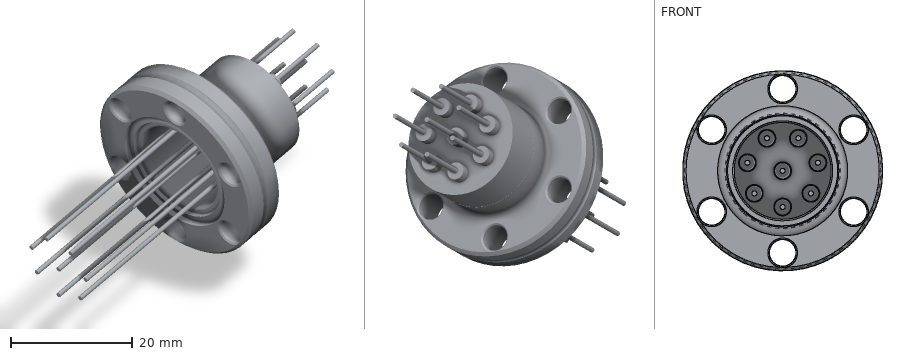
import cadquery as cq
import math


flange_diameter = 33.0
flange_thickness = 7.7
flange_chamfer = 0.6
leak_groove_width = 1.4
leak_groove_depth = 0.3

bolt_count = 6
bolt_circle_radius = 13.5
first_bolt_angle = 90.0
bolt_hole_diameter = 4.4
bolt_hole_chamfer = 0.25

seal_recess_diameter = 21.45
seal_recess_depth = 1.0
knife_diameter = 18.55
knife_wall_taper = 0.2
knife_tip_depth = 0.6
ledge_depth = 1.15

shell_diameter = 19.05
shell_length = 13.0
shell_fillet = 0.75
bore_diameter = 16.0
bore_chamfer = 0.25
weld_groove_diameter = 19.0
weld_groove_width = 0.2
weld_groove_from_flange = 4.8

pin_diameter = 0.8
pin_length = 63.5
pin_front_length = 29.85
ring_pin_count = 7
pin_circle_radius = 6.0
first_pin_angle = -90.0
insulator_diameter = 2.9
insulator_chamfer = 0.1
insulator_height = 2.0

flange_radius = flange_diameter / 2
shell_radius = shell_diameter / 2
bore_radius = bore_diameter / 2
shell_end = flange_thickness + shell_length
floor_thickness = shell_radius - bore_radius
bore_floor = shell_end - floor_thickness


def cylinder(diameter, y_start, length, x=0.0, z=0.0):
    """Cylinder along +Y from y_start, centred at (x, z)."""
    return cq.Workplane(cq.Solid.makeCylinder(
        diameter / 2, length, cq.Vector(x, y_start, z), cq.Vector(0, 1, 0)))


def polar_points(count, radius, first_angle):
    """Evenly spaced (x, z) points on a circle about the Y axis."""
    angles = [math.radians(first_angle + i * 360 / count) for i in range(count)]
    return [(radius * math.cos(a), radius * math.sin(a)) for a in angles]


def revolve_about_y(profile):
    """Close an XY half-profile and turn it fully about the Y axis."""
    return profile.close().revolve(360, (0, 0, 0), (0, 1, 0))


def make_housing():
    """Flange and shell, solid, with the outer grooves."""
    groove_start = (flange_thickness - leak_groove_width) / 2
    groove_end = groove_start + leak_groove_width
    fillet_middle = shell_fillet * (1 - math.sqrt(0.5))
    weld_start = flange_thickness + weld_groove_from_flange
    weld_end = weld_start + weld_groove_width
    weld_radius = weld_groove_diameter / 2
    return revolve_about_y(
        cq.Workplane("XY")
        .lineTo(flange_radius - flange_chamfer, 0)
        .lineTo(flange_radius, flange_chamfer)
        .lineTo(flange_radius, groove_start)
        .threePointArc((flange_radius - leak_groove_depth, flange_thickness / 2),
                       (flange_radius, groove_end))
        .lineTo(flange_radius, flange_thickness - flange_chamfer)
        .lineTo(flange_radius - flange_chamfer, flange_thickness)
        .lineTo(shell_radius + shell_fillet, flange_thickness)
        .threePointArc((shell_radius + fillet_middle, flange_thickness + fillet_middle),
                       (shell_radius, flange_thickness + shell_fillet))
        .lineTo(shell_radius, weld_start)
        .lineTo(weld_radius, weld_start)
        .lineTo(weld_radius, weld_end)
        .lineTo(shell_radius, weld_end)
        .lineTo(shell_radius, shell_end)
        .lineTo(0, shell_end)
    )


def make_cavity():
    """Seal recess, knife edge, ledge and blind bore."""
    knife_foot_radius = knife_diameter / 2 - knife_wall_taper
    return revolve_about_y(
        cq.Workplane("XY")
        .lineTo(seal_recess_diameter / 2, 0)
        .lineTo(seal_recess_diameter / 2, seal_recess_depth)
        .lineTo(knife_diameter / 2, knife_tip_depth)
        .lineTo(knife_foot_radius, ledge_depth)
        .lineTo(bore_radius + bore_chamfer, ledge_depth)
        .lineTo(bore_radius, ledge_depth + bore_chamfer)
        .lineTo(bore_radius, bore_floor)
        .lineTo(0, bore_floor)
    )


def make_bolt_hole(x, z):
    """Through hole chamfered at both flange faces."""
    hole_radius = bolt_hole_diameter / 2
    mouth_radius = hole_radius + bolt_hole_chamfer
    hole = revolve_about_y(
        cq.Workplane("XY")
        .lineTo(mouth_radius, 0)
        .lineTo(hole_radius, bolt_hole_chamfer)
        .lineTo(hole_radius, flange_thickness - bolt_hole_chamfer)
        .lineTo(mouth_radius, flange_thickness)
        .lineTo(0, flange_thickness)
    )
    return hole.translate((x, 0, z))


def make_pin(x, z):
    """Pin with insulator collars on both sides of the shell's end wall, the inner one chamfered."""
    pin = cylinder(pin_diameter, -pin_front_length, pin_length, x, z)
    front = cylinder(insulator_diameter, bore_floor - insulator_height, insulator_height, x, z)
    front = front.faces("<Y").chamfer(insulator_chamfer)
    back = cylinder(insulator_diameter, shell_end, insulator_height, x, z)
    return pin.union(front).union(back)


result = make_housing().cut(make_cavity())
for x, z in polar_points(bolt_count, bolt_circle_radius, first_bolt_angle):
    result = result.cut(make_bolt_hole(x, z))

pin_places = [(0.0, 0.0)] + polar_points(ring_pin_count, pin_circle_radius, first_pin_angle)
for x, z in pin_places:
    result = result.union(make_pin(x, z))